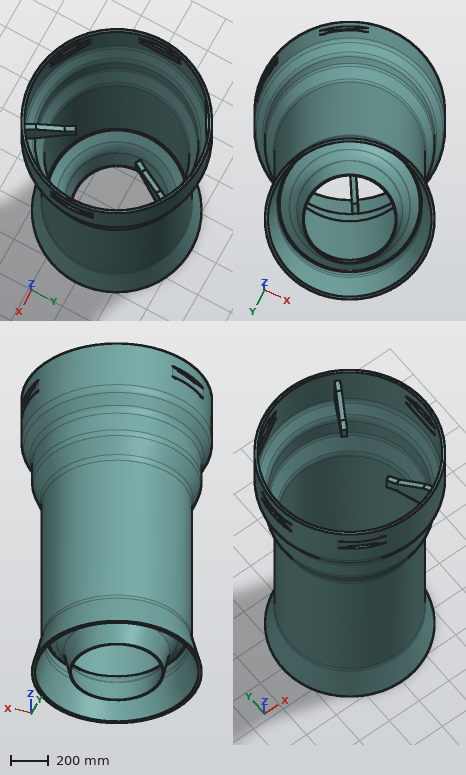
import cadquery as cq
import math

HEIGHT = 1800.0
WALL = 16.0
HEAD_RADIUS = 505.0
COLLAR_RADIUS = 450.0
BARREL_RADIUS = 400.0
FOOT_RADIUS = 450.0
HEAD_BOTTOM = 1503.0
COLLAR_TOP = 1402.0
COLLAR_BOTTOM = 1251.0
BARREL_TOP = 1121.0
BARREL_BOTTOM = 198.0
BEND_RADIUS = 90.0

INDENT_WIDTH = 254.0
INDENT_HEIGHT = 68.0
INDENT_BOTTOM = 1652.0
INDENT_ANGLES = (0, 120, 180, 240)

PLATE_THICKNESS = 30.0
PLATE_ANGLES = (60, -60)
PLATE_MID_Z = 1633.0
PLATE_TIP_RADIUS = 216.0
PLATE_TIP_LENGTH = 60.0
PLATE_ROOT_LENGTH = 63.0
PLATE_TIP_HEIGHT = 70.0
PLATE_ROOT_HEIGHT = 175.0

FUNNEL_CLEARANCE = 4.0
FUNNEL_WALL = 5.0
FUNNEL_TOP = 252.0
FUNNEL_BEND_RADIUS = 117.0
FUNNEL_KNEE_RADIUS = 285.0
FUNNEL_KNEE_DROP = 72.0
THROAT_RADIUS = 243.0


def unit(start, end):
    length = math.dist(start, end)
    return ((end[0] - start[0]) / length, (end[1] - start[1]) / length)


def offset_path(points, distance):
    """Shift a downward (radius, z) path inward by distance, keeping its end heights."""
    directions = [unit(a, b) for a, b in zip(points, points[1:])]
    shifted = [(points[0][0] + distance / directions[0][1], points[0][1])]
    for corner, before, after in zip(points[1:-1], directions, directions[1:]):
        scale = distance / (1 + before[0] * after[0] + before[1] * after[1])
        normal_r = before[1] + after[1]
        normal_z = -before[0] - after[0]
        shifted.append((corner[0] + scale * normal_r, corner[1] + scale * normal_z))
    shifted.append((points[-1][0] + distance / directions[-1][1], points[-1][1]))
    return shifted


def draw_rounded(sketch, points, radii):
    """Continue a sketch from points[0] along a path whose corners are tangent arcs."""
    for before, corner, after, radius in zip(points, points[1:], points[2:], radii):
        back = unit(corner, before)
        ahead = unit(corner, after)
        half_angle = math.acos(back[0] * ahead[0] + back[1] * ahead[1]) / 2
        setback = radius / math.tan(half_angle)
        arc_depth = radius / math.sin(half_angle) - radius
        middle = unit((0, 0), (back[0] + ahead[0], back[1] + ahead[1]))
        start = (corner[0] + setback * back[0], corner[1] + setback * back[1])
        bulge = (corner[0] + arc_depth * middle[0], corner[1] + arc_depth * middle[1])
        end = (corner[0] + setback * ahead[0], corner[1] + setback * ahead[1])
        sketch = sketch.lineTo(*start).threePointArc(bulge, end)
    return sketch.lineTo(*points[-1])


def revolve_wall(outer, wall, bend_radius):
    """Revolve a wall whose outer path runs downward; bends are concentric through the wall."""
    inner = offset_path(outer, wall)
    inner_radii = []
    for before, corner, after in zip(outer, outer[1:], outer[2:]):
        turn_in = unit(before, corner)
        turn_out = unit(corner, after)
        bulges_outward = turn_out[0] < turn_in[0]
        inner_radii.append(bend_radius - wall if bulges_outward else bend_radius + wall)
    sketch = cq.Workplane("XZ").moveTo(*outer[0])
    sketch = draw_rounded(sketch, outer, [bend_radius] * len(inner_radii))
    sketch = sketch.lineTo(*inner[-1])
    sketch = draw_rounded(sketch, inner[::-1], inner_radii[::-1])
    return sketch.close().revolve(360, (0, 0, 0), (0, 1, 0))


def make_indent_block(inner_x, outer_x):
    block = cq.Workplane("XY").box(
        outer_x - inner_x, INDENT_WIDTH, INDENT_HEIGHT, centered=(False, True, False)
    )
    return block.translate((inner_x, 0, INDENT_BOTTOM))


def make_shell():
    outer = [
        (HEAD_RADIUS, HEIGHT),
        (HEAD_RADIUS, HEAD_BOTTOM),
        (COLLAR_RADIUS, COLLAR_TOP),
        (COLLAR_RADIUS, COLLAR_BOTTOM),
        (BARREL_RADIUS, BARREL_TOP),
        (BARREL_RADIUS, BARREL_BOTTOM),
        (FOOT_RADIUS, 0),
    ]
    shell = revolve_wall(outer, WALL, BEND_RADIUS)
    floor_radius = math.sqrt(HEAD_RADIUS**2 - (INDENT_WIDTH / 2) ** 2)
    opening = make_indent_block(floor_radius, HEAD_RADIUS)
    panel = make_indent_block(floor_radius - WALL, floor_radius)
    for angle in INDENT_ANGLES:
        shell = shell.cut(opening.rotate((0, 0, 0), (0, 0, 1), angle))
        shell = shell.union(panel.rotate((0, 0, 0), (0, 0, 1), angle))
    return shell


def make_plate(angle):
    tip_end = PLATE_TIP_RADIUS + PLATE_TIP_LENGTH
    bore_radius = HEAD_RADIUS - WALL
    root_start = bore_radius - PLATE_ROOT_LENGTH
    tip_half = PLATE_TIP_HEIGHT / 2
    root_half = PLATE_ROOT_HEIGHT / 2
    upper = [
        (PLATE_TIP_RADIUS, tip_half),
        (tip_end, tip_half),
        (root_start, root_half),
        (HEAD_RADIUS, root_half),
    ]
    lower = [(radius, -height) for radius, height in reversed(upper)]
    plate = cq.Workplane("XZ").polyline(upper + lower).close().extrude(PLATE_THICKNESS / 2, both=True)
    plate = plate.translate((0, 0, PLATE_MID_Z)).rotate((0, 0, 0), (0, 0, 1), angle)
    bore = cq.Workplane("XY").circle(bore_radius).extrude(HEIGHT)
    return plate.intersect(bore)


def make_funnel():
    rim_radius = BARREL_RADIUS - WALL - FUNNEL_CLEARANCE
    outer = [
        (rim_radius, FUNNEL_TOP),
        (FUNNEL_KNEE_RADIUS + FUNNEL_WALL, FUNNEL_TOP - FUNNEL_KNEE_DROP),
        (THROAT_RADIUS + FUNNEL_WALL, 0),
    ]
    return revolve_wall(outer, FUNNEL_WALL, FUNNEL_BEND_RADIUS)


shell = make_shell()
plates = [make_plate(angle) for angle in PLATE_ANGLES]
funnel = make_funnel()

result = cq.Compound.makeCompound([shell.val(), *[plate.val() for plate in plates], funnel.val()])